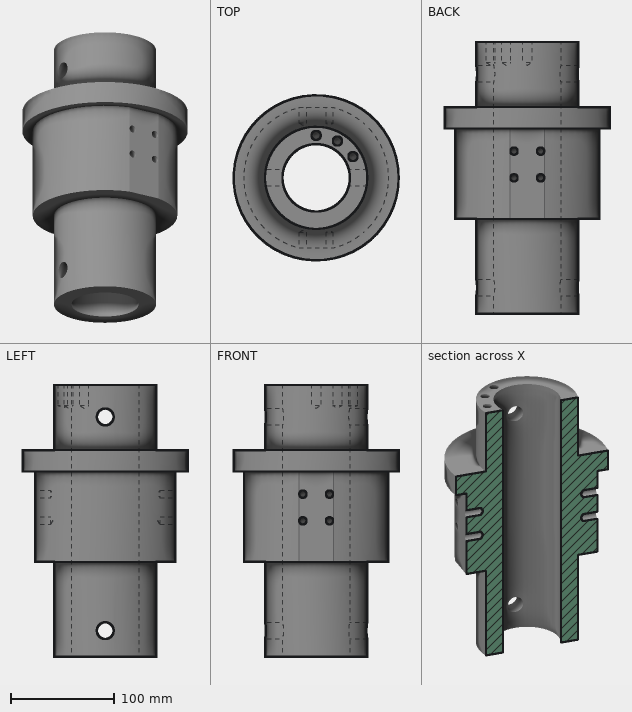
import cadquery as cq
import math

total_height = 263
tube_diameter = 99.0
bore_diameter = 65.0
body_diameter = 140.0
body_bottom = 91.8
flange_diameter = 160.0
flange_bottom = 179.0
flange_top = 200.0

flat_width = 33.7
flat_distance = math.sqrt((body_diameter / 2) ** 2 - (flat_width / 2) ** 2)

flat_hole_diameter = 7.0
flat_hole_depth = 15.0
flat_hole_pitch = 25.8
flat_hole_center_z = 144.5

pin_hole_diameter = 16.0
pin_hole_heights = (25.2, 232.0)

top_hole_diameter = 9.0
top_hole_circle_radius = 41.0
top_hole_depth = 20.0
top_hole_angles = (30, 60, 90)

drill_point_angle = 118


def cylinder(diameter, bottom, top):
    return cq.Workplane("XY").workplane(offset=bottom).circle(diameter / 2).extrude(top - bottom)


def drilled_hole(diameter, depth, entry, direction):
    """Cutter for a blind hole with a conical drill point."""
    radius = diameter / 2
    point_length = radius / math.tan(math.radians(drill_point_angle / 2))
    shank = cq.Solid.makeCylinder(radius, depth, entry, direction)
    point = cq.Solid.makeCone(radius, 0, point_length, entry + direction * depth, direction)
    return cq.Workplane(shank.fuse(point))


def flatted_body():
    body = cylinder(body_diameter, body_bottom, flange_bottom)
    slab = cq.Workplane("XY").box(body_diameter, 2 * flat_distance, 2 * total_height)
    body = body.intersect(slab)
    for side in (-1, 1):
        for x_side in (-1, 1):
            for z_side in (-1, 1):
                entry = cq.Vector(
                    x_side * flat_hole_pitch / 2,
                    side * flat_distance,
                    flat_hole_center_z + z_side * flat_hole_pitch / 2,
                )
                inward = cq.Vector(0, -side, 0)
                body = body.cut(drilled_hole(flat_hole_diameter, flat_hole_depth, entry, inward))
    return body


tube = cylinder(tube_diameter, 0, total_height)
flange = cylinder(flange_diameter, flange_bottom, flange_top)
bore = cylinder(bore_diameter, 0, total_height)


def pin_hole(height):
    return (
        cq.Workplane("YZ")
        .center(0, height)
        .circle(pin_hole_diameter / 2)
        .extrude(tube_diameter, both=True)
    )


def top_hole(angle):
    turn = math.radians(angle)
    entry = cq.Vector(
        top_hole_circle_radius * math.cos(turn),
        top_hole_circle_radius * math.sin(turn),
        total_height,
    )
    return drilled_hole(top_hole_diameter, top_hole_depth, entry, cq.Vector(0, 0, -1))


result = tube.union(flange).union(flatted_body()).cut(bore)
for pin_height in pin_hole_heights:
    result = result.cut(pin_hole(pin_height))
for hole_angle in top_hole_angles:
    result = result.cut(top_hole(hole_angle))